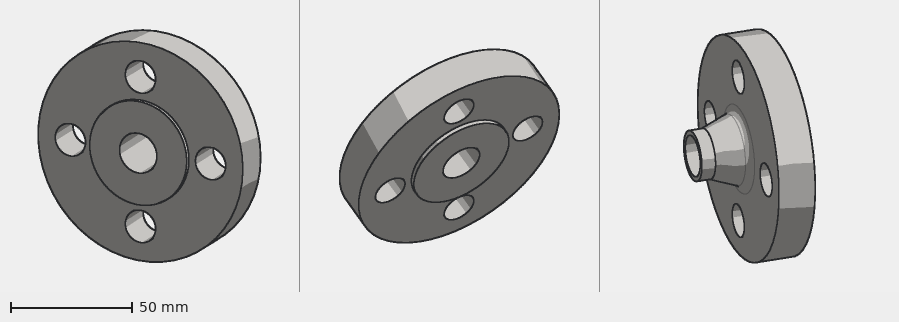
import cadquery as cq

total_length = 38.0

flange_diameter = 95.0
face_diameter = 45.0
face_height = 2.0
flange_back = 18.0

neck_diameter = 21.3
neck_length = 6.0
hub_base_diameter = 32.0
hub_fillet = 4.0

wall_thickness = 2.0
bore_diameter = neck_diameter - 2 * wall_thickness
bolt_circle_diameter = 65.0
bolt_hole_diameter = 14.0
bolt_count = 4


def disc(diameter, start, end):
    """Solid cylinder about the Y axis between two Y positions."""
    return (
        cq.Workplane("XZ", origin=(0, start, 0))
        .circle(diameter / 2)
        .extrude(-(end - start))
    )


def make_body():
    """Revolve the solid half-profile (radius, Y) and fillet the hub root."""
    profile = (
        cq.Workplane("XY")
        .moveTo(0, 0)
        .lineTo(face_diameter / 2, 0)
        .lineTo(face_diameter / 2, face_height)
        .lineTo(flange_diameter / 2, face_height)
        .lineTo(flange_diameter / 2, flange_back)
        .lineTo(hub_base_diameter / 2, flange_back)
        .lineTo(neck_diameter / 2, total_length - neck_length)
        .lineTo(neck_diameter / 2, total_length)
        .lineTo(0, total_length)
        .close()
    )
    body = profile.revolve(360, (0, 0, 0), (0, 1, 0))
    hub_root = body.faces("%CONE").edges(cq.selectors.RadiusNthSelector(1))
    return hub_root.fillet(hub_fillet)


def cut_bore(body):
    """Bore the pipe passage through the full length."""
    return body.cut(disc(bore_diameter, 0, total_length))


def cut_bolt_holes(body):
    """Drill the bolt circle through the plate, holes on the X and Z axes."""
    holes = (
        cq.Workplane("XZ", origin=(0, face_height, 0))
        .polarArray(bolt_circle_diameter / 2, 0, 360, bolt_count)
        .circle(bolt_hole_diameter / 2)
        .extrude(-(flange_back - face_height))
    )
    return body.cut(holes)


result = cut_bolt_holes(cut_bore(make_body()))